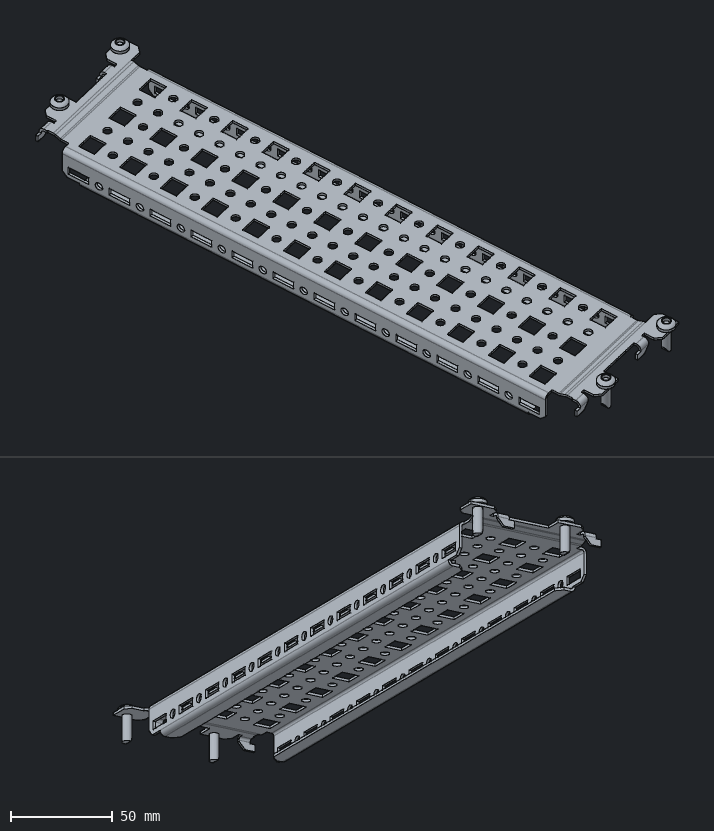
import cadquery as cq

THICKNESS = 1.5
INNER_BEND = 1.25
OUTER_BEND = INNER_BEND + THICKNESS

CHANNEL_LENGTH = 295.0
CHANNEL_WIDTH = 73.0
CHANNEL_HEIGHT = 20.0
HALF_LENGTH = CHANNEL_LENGTH / 2
HALF_WIDTH = CHANNEL_WIDTH / 2
LIP_WIDTH = 10.0
LIP_LENGTH = 274.0
LIP_CHAMFER = 3.5
WALL_CHAMFER = 3.0

PITCH = 25.0
HALF_PITCH = PITCH / 2
SQUARE_COUNT = 12
SQUARE_SIZE = 9.5
HOLE_DIAMETER = 4.5
SLOT_LENGTH = 12.5
SLOT_HEIGHT = 4.5
SLOT_Z = -12.4

JOIN_OVERLAP = 1.0
FLANGE_START_X = HALF_LENGTH - JOIN_OVERLAP
JOGGLE_RISE = 1.5
JOGGLE_INNER_X = 152.2
JOGGLE_OUTER_X = 156.1
JOGGLE_INNER_BEND = 2.5
JOGGLE_OUTER_BEND = JOGGLE_INNER_BEND + THICKNESS
FLANGE_TOP_Z = JOGGLE_RISE
FLANGE_BOTTOM_Z = FLANGE_TOP_Z - THICKNESS
NECK_BACK_Y = HALF_WIDTH - OUTER_BEND
NECK_FRONT_Y = -31.0
FLANGE_EDGE_X = 161.0
EAR_ROOT_X = 156.8
EAR_END_X = 170.0
EAR_CHAMFER = 3.0
EAR_BEHIND_SCREW = 6.0
EAR_BEFORE_SCREW = 10.5

SCREW_X = 166.75
SCREW_BACK_Y = 37.5
SCREW_SPACING = 50.0
SCREW_YS = (SCREW_BACK_Y, SCREW_BACK_Y - SCREW_SPACING)
HEAD_DIAMETER = 9.5
HEAD_HEIGHT = 3.59
HEAD_RIM_HEIGHT = 1.8
HEAD_TOP_DIAMETER = 4.9
HEAD_DOME_RADIUS = 4.0
HEAD_TOP_Z = FLANGE_TOP_Z + HEAD_HEIGHT
SOCKET_DIAMETER = 4.0
SOCKET_DEPTH = 2.0
SHANK_DIAMETER = 5.0
SHANK_BOTTOM_Z = -14.0
TIP_FLAT_HEIGHT = 3.0
TIP_FLAT_DEPTH = 1.5

HOOK_OUTER_X = 165.3
HOOK_INNER_BEND = 1.5
HOOK_OUTER_BEND = HOOK_INNER_BEND + THICKNESS
HOOK_BACK_OFFSET = -12.5
HOOK_FRONT_OFFSET = -19.0
HOOK_TIP_OFFSET = -21.8
HOOK_TAPER = 3.5
HOOK_SHOULDER_Z = -2.0
HOOK_BOTTOM_Z = -5.8


def rounded_bar(width, height, bend_radius):
    """Bar along X, centred at half the channel height, with rounded long edges."""
    return (
        cq.Workplane("YZ", origin=(0, 0, -CHANNEL_HEIGHT / 2))
        .rect(width, height)
        .extrude(HALF_LENGTH, both=True)
        .edges("|X")
        .fillet(bend_radius)
    )


def make_wall_envelope():
    """Space holding the plate and walls, with cut corners where the walls end."""
    height = CHANNEL_HEIGHT - OUTER_BEND
    return (
        cq.Workplane("XZ", origin=(0, 0, -height / 2))
        .rect(CHANNEL_LENGTH, height)
        .extrude(HALF_WIDTH, both=True)
        .edges("|Y and <Z")
        .chamfer(WALL_CHAMFER)
    )


def make_lip_envelope(side):
    """Space holding one lip, shorter than the wall and with chamfered free corners."""
    end_x = LIP_LENGTH / 2
    outer_y = side * HALF_WIDTH
    free_y = side * (HALF_WIDTH - LIP_WIDTH)
    chamfer_y = free_y + side * LIP_CHAMFER
    return (
        cq.Workplane("XY")
        .polyline([
            (-end_x, outer_y),
            (end_x, outer_y),
            (end_x, chamfer_y),
            (end_x - LIP_CHAMFER, free_y),
            (-end_x + LIP_CHAMFER, free_y),
            (-end_x, chamfer_y),
        ])
        .close()
        .extrude(-CHANNEL_HEIGHT)
    )


def make_channel():
    outside = rounded_bar(CHANNEL_WIDTH, CHANNEL_HEIGHT, OUTER_BEND)
    inside = rounded_bar(CHANNEL_WIDTH - 2 * THICKNESS, CHANNEL_HEIGHT - 2 * THICKNESS, INNER_BEND)
    mouth = (
        cq.Workplane("XY", origin=(0, 0, -CHANNEL_HEIGHT))
        .rect(CHANNEL_LENGTH, CHANNEL_WIDTH - 2 * LIP_WIDTH)
        .extrude(CHANNEL_HEIGHT / 2)
    )
    envelope = make_wall_envelope().union(make_lip_envelope(1)).union(make_lip_envelope(-1))
    return outside.cut(inside).cut(mouth).intersect(envelope)


def make_joggled_strip():
    """Sheet that leaves the plate at +X and steps up to the flange level."""
    strip = (
        cq.Workplane("XZ")
        .polyline([
            (FLANGE_START_X, 0),
            (JOGGLE_INNER_X, 0),
            (JOGGLE_OUTER_X, FLANGE_TOP_Z),
            (EAR_END_X, FLANGE_TOP_Z),
            (EAR_END_X, FLANGE_BOTTOM_Z),
            (JOGGLE_OUTER_X, FLANGE_BOTTOM_Z),
            (JOGGLE_INNER_X, -THICKNESS),
            (FLANGE_START_X, -THICKNESS),
        ])
        .close()
        .extrude(CHANNEL_WIDTH, both=True)
    )
    bends = (
        (JOGGLE_INNER_X, 0, JOGGLE_INNER_BEND),
        (JOGGLE_INNER_X, -THICKNESS, JOGGLE_OUTER_BEND),
        (JOGGLE_OUTER_X, FLANGE_TOP_Z, JOGGLE_OUTER_BEND),
        (JOGGLE_OUTER_X, FLANGE_BOTTOM_Z, JOGGLE_INNER_BEND),
    )
    for x, z, radius in bends:
        strip = strip.edges(cq.NearestToPointSelector((x, 0, z))).fillet(radius)
    return strip


def make_flange_outline():
    """Outline of the flange with its two ears, as a tall prism."""
    back_y, front_y = SCREW_YS
    ear_back_y = back_y + EAR_BEHIND_SCREW
    outline = [
        (FLANGE_START_X, NECK_FRONT_Y),
        (FLANGE_START_X, NECK_BACK_Y),
        (EAR_ROOT_X, NECK_BACK_Y),
        (EAR_ROOT_X, ear_back_y - EAR_CHAMFER),
        (EAR_ROOT_X + EAR_CHAMFER, ear_back_y),
        (EAR_END_X, ear_back_y),
        (EAR_END_X, back_y - EAR_BEFORE_SCREW + EAR_CHAMFER),
        (EAR_END_X - EAR_CHAMFER, back_y - EAR_BEFORE_SCREW),
        (FLANGE_EDGE_X, back_y - EAR_BEFORE_SCREW),
        (FLANGE_EDGE_X, front_y + EAR_BEHIND_SCREW),
        (EAR_END_X, front_y + EAR_BEHIND_SCREW),
        (EAR_END_X, front_y - EAR_BEFORE_SCREW + EAR_CHAMFER),
        (EAR_END_X - EAR_CHAMFER, front_y - EAR_BEFORE_SCREW),
        (FLANGE_EDGE_X, front_y - EAR_BEFORE_SCREW),
        (FLANGE_EDGE_X, NECK_FRONT_Y),
    ]
    return cq.Workplane("XY").polyline(outline).close().extrude(CHANNEL_HEIGHT, both=True)


def make_hook(screw_y):
    """Tab that leaves the flange edge, bends down and points toward -Y."""
    root_x = FLANGE_EDGE_X - JOIN_OVERLAP
    bend_x = HOOK_OUTER_X - HOOK_OUTER_BEND
    bend_z = FLANGE_TOP_Z - HOOK_OUTER_BEND
    inner_x = HOOK_OUTER_X - THICKNESS
    bent_strip = (
        cq.Workplane("XZ")
        .moveTo(root_x, FLANGE_TOP_Z)
        .lineTo(bend_x, FLANGE_TOP_Z)
        .radiusArc((HOOK_OUTER_X, bend_z), HOOK_OUTER_BEND)
        .lineTo(HOOK_OUTER_X, HOOK_BOTTOM_Z)
        .lineTo(inner_x, HOOK_BOTTOM_Z)
        .lineTo(inner_x, bend_z)
        .radiusArc((bend_x, FLANGE_BOTTOM_Z), -HOOK_INNER_BEND)
        .lineTo(root_x, FLANGE_BOTTOM_Z)
        .close()
        .extrude(CHANNEL_WIDTH, both=True)
    )
    back_y = screw_y + HOOK_BACK_OFFSET
    front_y = screw_y + HOOK_FRONT_OFFSET
    tip_y = screw_y + HOOK_TIP_OFFSET
    outline = (
        cq.Workplane("YZ")
        .polyline([
            (back_y, FLANGE_TOP_Z),
            (back_y, HOOK_SHOULDER_Z),
            (back_y - HOOK_TAPER, HOOK_BOTTOM_Z),
            (tip_y, HOOK_BOTTOM_Z),
            (tip_y, HOOK_SHOULDER_Z),
            (front_y, HOOK_SHOULDER_Z),
            (front_y, FLANGE_TOP_Z),
        ])
        .close()
        .extrude(EAR_END_X)
    )
    return bent_strip.intersect(outline)


def make_end_flange():
    """Complete flange of the +X end: joggle, ears, hooks and screw holes."""
    flange = make_joggled_strip().intersect(make_flange_outline())
    for screw_y in SCREW_YS:
        flange = flange.union(make_hook(screw_y))
    screw_holes = (
        cq.Workplane("XY", origin=(0, 0, FLANGE_BOTTOM_Z))
        .pushPoints([(SCREW_X, screw_y) for screw_y in SCREW_YS])
        .circle(SHANK_DIAMETER / 2)
        .extrude(THICKNESS)
    )
    return flange.cut(screw_holes)


def make_perforation():
    """Square and round openings of the plate, slots and round holes of the walls."""
    first_x = -(SQUARE_COUNT - 1) * HALF_PITCH
    square_xs = [first_x + i * PITCH for i in range(SQUARE_COUNT)]
    between_xs = [x + HALF_PITCH for x in square_xs[:-1]]
    square_rows = (-PITCH, 0, PITCH)
    hole_rows = (-HALF_PITCH, HALF_PITCH)

    square_points = [(x, y) for x in square_xs for y in square_rows]
    hole_points = [(x, y) for x in between_xs for y in square_rows]
    hole_points += [(x, y) for x in square_xs + between_xs for y in hole_rows]
    plate = cq.Workplane("XY")
    squares = plate.pushPoints(square_points).rect(SQUARE_SIZE, SQUARE_SIZE).extrude(-THICKNESS)
    holes = plate.pushPoints(hole_points).circle(HOLE_DIAMETER / 2).extrude(-THICKNESS)

    walls = cq.Workplane("XZ", origin=(0, 0, SLOT_Z))
    slot_points = [(x, 0) for x in square_xs]
    wall_hole_points = [(x, 0) for x in between_xs]
    slots = walls.pushPoints(slot_points).rect(SLOT_LENGTH, SLOT_HEIGHT).extrude(HALF_WIDTH, both=True)
    wall_holes = walls.pushPoints(wall_hole_points).circle(HOLE_DIAMETER / 2).extrude(HALF_WIDTH, both=True)
    return squares, holes, slots, wall_holes


def make_tray():
    flange = make_end_flange()
    tray = make_channel().union(flange).union(flange.mirror("YZ"))
    for openings in make_perforation():
        tray = tray.cut(openings)
    return tray


def make_screw(x, y):
    """Domed screw resting on the flange, with a socket and a slanted flat at its tip."""
    shank_radius = SHANK_DIAMETER / 2
    head_radius = HEAD_DIAMETER / 2
    screw = (
        cq.Workplane("XZ")
        .moveTo(0, SHANK_BOTTOM_Z)
        .lineTo(shank_radius, SHANK_BOTTOM_Z)
        .lineTo(shank_radius, FLANGE_TOP_Z)
        .lineTo(head_radius, FLANGE_TOP_Z)
        .lineTo(head_radius, FLANGE_TOP_Z + HEAD_RIM_HEIGHT)
        .radiusArc((HEAD_TOP_DIAMETER / 2, HEAD_TOP_Z), -HEAD_DOME_RADIUS)
        .lineTo(0, HEAD_TOP_Z)
        .close()
        .revolve(360, (0, 0), (0, 1))
    )
    socket = (
        cq.Workplane("XY", origin=(0, 0, HEAD_TOP_Z))
        .circle(SOCKET_DIAMETER / 2)
        .extrude(-SOCKET_DEPTH)
    )
    tip_flat = (
        cq.Workplane("YZ")
        .polyline([
            (-shank_radius, SHANK_BOTTOM_Z),
            (-shank_radius + TIP_FLAT_DEPTH, SHANK_BOTTOM_Z),
            (-shank_radius, SHANK_BOTTOM_Z + TIP_FLAT_HEIGHT),
        ])
        .close()
        .extrude(shank_radius, both=True)
    )
    return screw.cut(socket).cut(tip_flat).translate((x, y, 0))


tray = make_tray()
screws = [make_screw(side * SCREW_X, y) for side in (-1, 1) for y in SCREW_YS]

result = cq.Compound.makeCompound([tray.solids().val(), *[screw.solids().val() for screw in screws]])